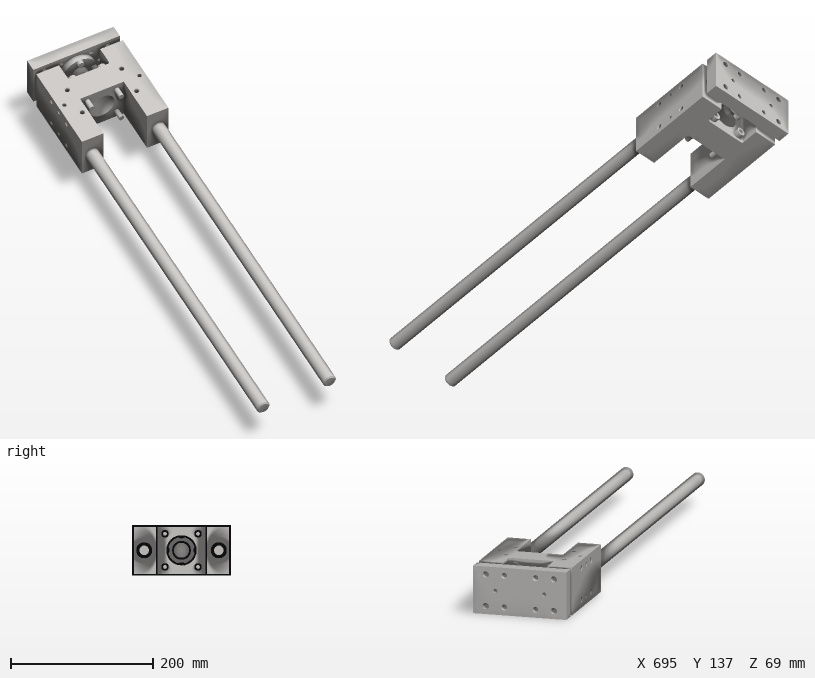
import cadquery as cq
import math

total_length = 695.0
unit_width = 137.0
unit_height = 69.0

plate_thickness = 19.0
housing_start = 28.0
housing_length = 140.0
housing_end = housing_start + housing_length

web_start = 57.0
web_end = 96.5
web_bore_diameter = 40.0
front_pocket_width = 65.0
front_pocket_fillet = 3.0
rear_pocket_width = 69.0

rod_diameter = 20.0
rod_offset = 52.5
rod_chamfer = 2.0

hole_spacing = 46.0
half_spacing = hole_spacing / 2
thread_diameter = 6.65
thread_chamfer_diameter = 8.4
chamfer_angle = 45.0
thread_depth = 16.0
dowel_diameter = 6.0
dowel_depth = 10.0
pattern_center = 96.5
top_thread_offset = 43.0
top_dowel_offset = 59.5

plate_hole_diameter = 9.0
plate_hole_offset = 50.0
plate_dowel_offset = 36.0

flange_diameter = 55.0
flange_end = housing_start
flange_screw_diameter = 10.0
flange_screw_height = 6.0
flange_screw_radius = 23.0
stud_diameter = 24.0
stud_end = 47.5
stud_flat_width = 22.0
stud_flat_length = 9.0

screw_head_diameter = 13.0
screw_head_height = 8.0
screw_diameter = 8.0
socket_sides = 6
socket_width = 6.0
socket_depth = 4.0
screw_projection = 15.0
screw_spacing = 46.6


def bars_along_x(start, end, diameter, places):
    """Round bars parallel to X, one at each (y, z) place."""
    return (
        cq.Workplane("YZ", origin=(start, 0, 0))
        .pushPoints(places)
        .circle(diameter / 2)
        .extrude(end - start)
    )


def bores(plane, origin, places, diameter, depth):
    """Round cutters; a positive depth runs against the plane normal, a negative one along it."""
    return cq.Workplane(plane, origin=origin).pushPoints(places).circle(diameter / 2).extrude(-depth)


def tapped_bores(plane, origin, places, depth):
    """Cutters for tapped holes with a chamfer at the mouth."""
    mouth = (thread_chamfer_diameter - thread_diameter) / 2
    cutters = bores(plane, origin, places, thread_diameter, depth)
    inward = -math.copysign(1, depth)
    chamfers = (
        cq.Workplane(plane, origin=origin)
        .pushPoints(places)
        .circle(thread_chamfer_diameter / 2)
        .extrude(inward * mouth, taper=chamfer_angle)
    )
    return cutters.union(chamfers)


def block(start, end, width):
    """Full-height block centred on the axis."""
    return cq.Workplane("XY").box(end - start, width, unit_height).translate(((start + end) / 2, 0, 0))


def grid(half_y, half_z):
    """Four places mirrored about both axes."""
    return [(y, z) for y in (-half_y, half_y) for z in (-half_z, half_z)]


rod_places = [(-rod_offset, 0), (rod_offset, 0)]


def make_housing():
    """Housing with its rod bores, mounting holes and web screws."""
    body = block(housing_start, housing_end, unit_width)
    front_pocket = block(housing_start, web_start, front_pocket_width)
    body = body.cut(front_pocket.edges("|Z and >X").fillet(front_pocket_fillet))
    body = body.cut(block(web_end, housing_end, rear_pocket_width))
    body = body.cut(bars_along_x(housing_start, housing_end, rod_diameter, rod_places))
    body = body.cut(bars_along_x(web_start, web_end, web_bore_diameter, [(0, 0)]))

    top_threads = [(pattern_center + x, y) for x, y in grid(half_spacing, top_thread_offset)]
    top_dowels = [(pattern_center, y) for y in (-top_dowel_offset, top_dowel_offset)]
    top = (0, 0, unit_height / 2)
    body = body.cut(tapped_bores("XY", top, top_threads, thread_depth))
    body = body.cut(bores("XY", top, top_dowels, dowel_diameter, dowel_depth))

    side_threads = [(pattern_center + x, z) for x, z in grid(half_spacing, half_spacing)]
    side_dowels = [(pattern_center, z) for z in (-half_spacing, half_spacing)]
    for side in (-1, 1):
        face = (0, side * unit_width / 2, 0)
        body = body.cut(tapped_bores("XZ", face, side_threads, -side * thread_depth))
        body = body.cut(bores("XZ", face, side_dowels, dowel_diameter, -side * dowel_depth))

    screw_places = grid(screw_spacing / 2, screw_spacing / 2)
    head_start = web_start - screw_head_height
    body = body.union(bars_along_x(head_start, web_start, screw_head_diameter, screw_places))
    sockets = (
        cq.Workplane("YZ", origin=(head_start, 0, 0))
        .pushPoints(screw_places)
        .polygon(socket_sides, socket_width, circumscribed=True)
        .extrude(socket_depth)
    )
    body = body.cut(sockets)
    return body.union(bars_along_x(web_end, web_end + screw_projection, screw_diameter, screw_places))


def make_yoke():
    """Front plate with the guide rods, flange and coupling stud."""
    body = block(0, plate_thickness, unit_width)

    rods = bars_along_x(plate_thickness, total_length, rod_diameter, rod_places)
    body = body.union(rods.faces(">X").chamfer(rod_chamfer))

    body = body.union(bars_along_x(plate_thickness, flange_end, flange_diameter, [(0, 0)]))
    r = flange_screw_radius
    head_places = [(r, 0), (-r, 0), (0, r), (0, -r)]
    head_end = flange_end + flange_screw_height
    body = body.union(bars_along_x(flange_end, head_end, flange_screw_diameter, head_places))

    stud = bars_along_x(flange_end, stud_end, stud_diameter, [(0, 0)])
    tip = block(stud_end - stud_flat_length, stud_end, unit_width)
    across_flats = cq.Workplane("XY").box(total_length, unit_width, stud_flat_width)
    body = body.union(stud.cut(tip.cut(across_flats)))

    through = -plate_thickness
    front = (0, 0, 0)
    outer_places = grid(plate_hole_offset, half_spacing)
    thread_places = grid(half_spacing, half_spacing)
    dowel_places = [(-plate_dowel_offset, 0), (plate_dowel_offset, 0)]
    body = body.cut(bores("YZ", front, outer_places, plate_hole_diameter, through))
    body = body.cut(tapped_bores("YZ", front, thread_places, through))
    return body.cut(bores("YZ", front, dowel_places, dowel_diameter, through))


housing = make_housing()
yoke = make_yoke()

result = cq.Compound.makeCompound([housing.val(), yoke.val()])